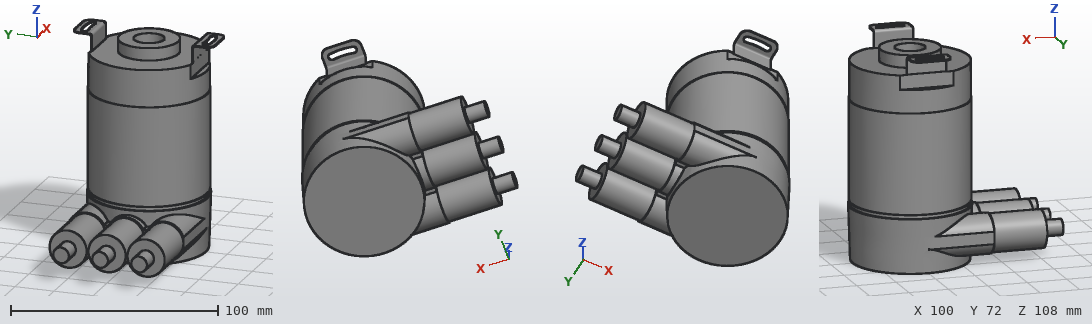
import cadquery as cq
import math

base_bottom_radius = 29.1
base_top_radius = 30.0
base_height = 27.5
groove_radius = 29.2
groove_top = 29.5
body_radius = 29.65
body_top = 80.3
cap_radius = 29.4
cap_top = 99.2
boss_radius = 15.0
boss_top = 105.5
bore_radius = 7.5

flat_offset = 26.1
flat_floor = 92.0

outlet_pitch = 20.0
outlet_height = 15.0
sleeve_radius = 10.0
sleeve_end = 33.3
sleeve_flat_offset = 29.5
cable_radius = 9.5
cable_end = 60.0
core_radius = 4.0
core_end = 70.0
web_half_height = 4.7

bracket_width = 20.0
bracket_top = 108.0
bracket_reach = 36.0
sheet_thickness = 0.5
bend_inner_radius = 1.0
bend_outer_radius = bend_inner_radius + sheet_thickness
bracket_corner_radius = 4.0
slot_path_radius = 31.5
slot_half_angle = math.radians(10.0)
slot_width = 3.4


def make_housing():
    """Tapered base, relief groove, body, cap and boss as one revolved profile."""
    profile = [
        (0, 0),
        (base_bottom_radius, 0),
        (base_top_radius, base_height),
        (groove_radius, base_height),
        (groove_radius, groove_top),
        (body_radius, groove_top),
        (body_radius, body_top),
        (cap_radius, body_top),
        (cap_radius, cap_top),
        (boss_radius, cap_top),
        (boss_radius, boss_top),
        (0, boss_top),
    ]
    return cq.Workplane("XZ").polyline(profile).close().revolve(360, (0, 0), (0, 1))


def make_flat_cutter(side):
    """Block that removes the cap outside the flat; side is +1 or -1 along Y."""
    depth = cap_radius - flat_offset
    return cq.Workplane("XY").box(
        2 * cap_radius, depth, cap_top - flat_floor, centered=(True, True, False)
    ).translate((0, side * (flat_offset + depth / 2), flat_floor))


def make_bore():
    """Blind central bore, reaching down to the bottom of the cap."""
    return cq.Workplane("XY").workplane(offset=body_top).circle(bore_radius).extrude(boss_top - body_top)


def rod_along_minus_x(radius, y, end):
    """Round rod from the housing axis plane x = 0 to x = -end."""
    return cq.Workplane("YZ").center(y, outlet_height).circle(radius).extrude(-end)


def make_sleeves():
    """Three sleeves joined by a web, with the outer sides trimmed flat."""
    web = cq.Workplane("XY").box(
        sleeve_end, 2 * outlet_pitch, 2 * web_half_height
    ).translate((-sleeve_end / 2, 0, outlet_height))
    trim = cq.Workplane("XY").box(
        sleeve_end, 2 * sleeve_flat_offset, 2 * sleeve_radius
    ).translate((-sleeve_end / 2, 0, outlet_height))
    sleeves = web
    for index in (-1, 0, 1):
        sleeves = sleeves.union(rod_along_minus_x(sleeve_radius, index * outlet_pitch, sleeve_end))
    return sleeves.intersect(trim)


def make_cable(y):
    """Cable jacket with its exposed core."""
    jacket = rod_along_minus_x(cable_radius, y, cable_end)
    return jacket.union(rod_along_minus_x(core_radius, y, core_end))


def make_slot_cutter():
    """Curved slot, concentric with the housing, through the +Y bracket flange."""
    inner_radius = slot_path_radius - slot_width / 2
    outer_radius = slot_path_radius + slot_width / 2
    tip_angle = slot_half_angle + slot_width / 2 / slot_path_radius

    def point(radius, angle):
        return (radius * math.sin(angle), radius * math.cos(angle))

    return (
        cq.Workplane("XY")
        .workplane(offset=bracket_top - bend_outer_radius)
        .moveTo(*point(outer_radius, -slot_half_angle))
        .threePointArc(point(outer_radius, 0), point(outer_radius, slot_half_angle))
        .threePointArc(point(slot_path_radius, tip_angle), point(inner_radius, slot_half_angle))
        .threePointArc(point(inner_radius, 0), point(inner_radius, -slot_half_angle))
        .threePointArc(point(slot_path_radius, -tip_angle), point(outer_radius, -slot_half_angle))
        .close()
        .extrude(2 * bend_outer_radius)
    )


def make_bracket():
    """Bent sheet bracket on the +Y side, its upright flush with the cap flat."""
    inner_face = flat_offset - sheet_thickness
    flange_bottom = bracket_top - sheet_thickness
    bend_start = bracket_top - bend_outer_radius
    bend_end = inner_face + bend_outer_radius
    bracket = (
        cq.Workplane("YZ")
        .moveTo(inner_face, flat_floor)
        .lineTo(inner_face, bend_start)
        .radiusArc((bend_end, bracket_top), bend_outer_radius)
        .lineTo(bracket_reach, bracket_top)
        .lineTo(bracket_reach, flange_bottom)
        .lineTo(bend_end, flange_bottom)
        .radiusArc((flat_offset, bend_start), -bend_inner_radius)
        .lineTo(flat_offset, flat_floor)
        .close()
        .extrude(bracket_width / 2, both=True)
    )
    bracket = bracket.edges("|Z and >Y").fillet(bracket_corner_radius)
    return bracket.cut(make_slot_cutter())


result = make_housing()
for flat_side in (-1, 1):
    result = result.cut(make_flat_cutter(flat_side))
result = result.cut(make_bore())

result = result.union(make_sleeves())
for outlet_index in (-1, 0, 1):
    result = result.union(make_cable(outlet_index * outlet_pitch))

rear_bracket = make_bracket()
result = result.union(rear_bracket).union(rear_bracket.mirror("XZ"))